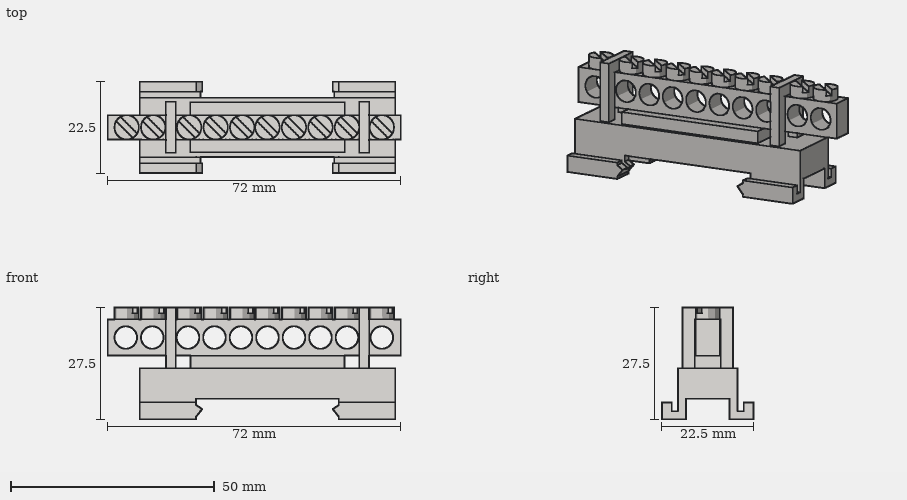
import cadquery as cq


overall_height = 27.5
base_underside = 5.05
base_top = 12.6
bar_bottom = 15.6
bar_height = 8.9
bar_top = bar_bottom + bar_height

bar_length = 72.0
bar_width = 6.0
hole_diameter = 5.5
hole_height = bar_bottom + bar_height / 2

middle_row_span = 39.0
middle_row_count = 7
terminal_pitch = middle_row_span / (middle_row_count - 1)
hole_rows = [(4.5, 2), (19.7, middle_row_count), (67.3, 1)]
screw_rows = [(4.7, 2), (20.0, 3), (39.25, 4), (67.3, 1)]

screw_diameter = bar_width
slot_width = 1.5
slot_depth = 1.5
slot_angle = -45.0

base_length = 62.8
base_width = 14.6
base_center_x = 39.25

foot_span = 22.5
foot_length = 13.9
channel_width = 10.65
hook_thickness = 2.45
hook_height = 4.2
hook_floor = 2.0
tooth_reach = 1.5
tooth_bottom = 0.65
tooth_tip = 2.5
tooth_top = 3.5

plinth_length = 37.9
plinth_width = 12.25

strap_width = 12.45
strap_thickness = 2.45
strap_gap_width = 6.3
strap_spacing = 47.45


def block(length, width, bottom, top, center_x):
    """Box centred on Y = 0 between two levels."""
    box = cq.Workplane("XY").box(length, width, top - bottom, centered=(True, True, False))
    return box.translate((center_x, 0, bottom))


def row_positions(rows):
    """X of every terminal in the given rows."""
    return [first + i * terminal_pitch for first, count in rows for i in range(count)]


def make_left_feet():
    """Both J-shaped hooks at the left end, with a pointed tooth facing the middle."""
    left = base_center_x - base_length / 2
    inner = left + foot_length
    side_shape = (
        cq.Workplane("XZ", origin=(0, foot_span / 2, 0))
        .moveTo(left, 0)
        .lineTo(inner, 0)
        .lineTo(inner, tooth_bottom)
        .lineTo(inner + tooth_reach, tooth_tip)
        .lineTo(inner, tooth_top)
        .lineTo(inner, base_underside)
        .lineTo(left, base_underside)
        .close()
        .extrude(foot_span)
    )
    hook_shape = (
        cq.Workplane("YZ", origin=(left, 0, 0))
        .moveTo(channel_width / 2, 0)
        .lineTo(foot_span / 2, 0)
        .lineTo(foot_span / 2, hook_height)
        .lineTo(foot_span / 2 - hook_thickness, hook_height)
        .lineTo(foot_span / 2 - hook_thickness, hook_floor)
        .lineTo(base_width / 2, hook_floor)
        .lineTo(base_width / 2, base_underside)
        .lineTo(channel_width / 2, base_underside)
        .close()
        .extrude(foot_length + tooth_reach)
    )
    hook_pair = hook_shape.union(hook_shape.mirror("XZ"))
    return side_shape.intersect(hook_pair)


def make_base():
    """Base body, four rail hooks and the plinth under the busbar."""
    base = block(base_length, base_width, base_underside, base_top, base_center_x)
    left_feet = make_left_feet()
    right_feet = left_feet.mirror("YZ", (base_center_x, 0, 0))
    plinth = block(plinth_length, plinth_width, base_top, bar_bottom, base_center_x)
    return base.union(left_feet).union(right_feet).union(plinth)


def make_strap(center_x):
    """Inverted U that bridges the busbar."""
    strap = block(strap_thickness, strap_width, base_top, overall_height, center_x)
    return strap.cut(block(strap_thickness, strap_gap_width, base_top, bar_top, center_x))


def make_busbar():
    """Bar with a cross hole for each conductor."""
    bar = block(bar_length, bar_width, bar_bottom, bar_top, bar_length / 2)
    holes = (
        cq.Workplane("XZ", origin=(0, bar_width / 2, 0))
        .pushPoints([(x, hole_height) for x in row_positions(hole_rows)])
        .circle(hole_diameter / 2)
        .extrude(bar_width)
    )
    return bar.cut(holes)


def make_screw(center_x):
    """Cylindrical screw head with a diagonal driver slot."""
    head_height = overall_height - bar_top
    head = cq.Workplane("XY").circle(screw_diameter / 2).extrude(head_height)
    slot = (
        cq.Workplane("XY", origin=(0, 0, head_height - slot_depth))
        .rect(2 * screw_diameter, slot_width)
        .extrude(slot_depth)
        .rotate((0, 0, 0), (0, 0, 1), slot_angle)
    )
    return head.cut(slot).translate((center_x, 0, bar_top))


result = make_base().union(make_busbar())
for side in (-1, 1):
    result = result.union(make_strap(base_center_x + side * strap_spacing / 2))
for screw_x in row_positions(screw_rows):
    result = result.union(make_screw(screw_x))